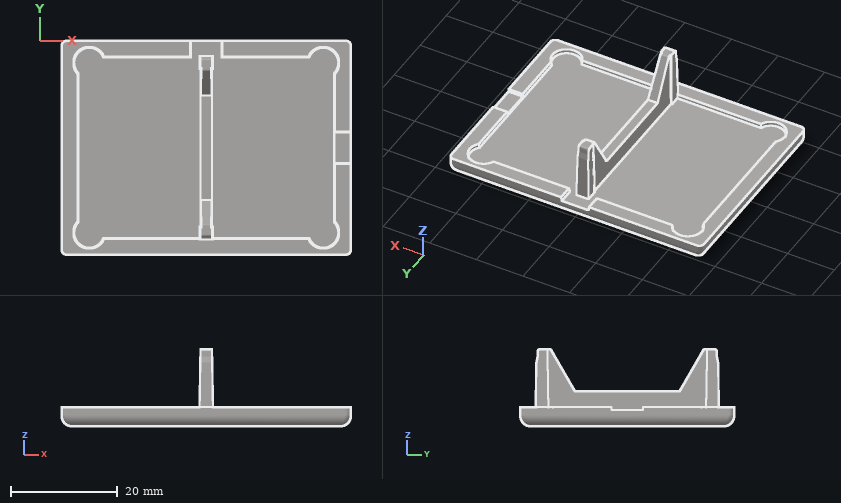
import cadquery as cq
import math

PLATE_LENGTH = 54.2
PLATE_WIDTH = 40.1
PLATE_THICKNESS = 3.6
PLATE_CORNER_RADIUS = 1.0
UNDERSIDE_RADIUS = 2.0

RIM_WIDTH = 3.0
POCKET_LENGTH = PLATE_LENGTH - 2 * RIM_WIDTH
POCKET_WIDTH = PLATE_WIDTH - 2 * RIM_WIDTH
POCKET_DEPTH = 0.8
RELIEF_RADIUS = 3.0
RELIEF_OFFSET_X = 21.9
RELIEF_OFFSET_Y = 15.9
RECESS_WALL_SLOPE = 12.0
FLOOR_Z = PLATE_THICKNESS - POCKET_DEPTH

NOTCH_WIDTH = 6.0
SIDE_NOTCH_DEPTH = 0.5
NOTCH_OVERLAP = 1.0

TOTAL_HEIGHT = 14.5
DRAFT_ANGLE = 1.0
WEB_BASE_THICKNESS = 2.2
LEG_BASE_THICKNESS = 2.6
LEG_OUTER_Y = 17.2
LEG_INNER_Y = 14.75
SADDLE_Z = 6.6
TIP_INNER_Y = 14.35
SADDLE_SLOPE = 60.0
TIP_RADIUS = 0.5
STEP_BOTTOM_Z = 11.9
STEP_TOP_Z = 13.1
STEP_INSET = 0.25

DRAFT = math.tan(math.radians(DRAFT_ANGLE))


def make_plate():
    """Rectangular plate with rounded corners and a rounded underside."""
    plate = cq.Workplane("XY").box(PLATE_LENGTH, PLATE_WIDTH, PLATE_THICKNESS, centered=(True, True, False))
    plate = plate.edges("|Z").fillet(PLATE_CORNER_RADIUS)
    return plate.faces("<Z").edges().fillet(UNDERSIDE_RADIUS)


def make_pocket():
    """Volume of the recess and its corner reliefs, narrowing from the rim down to the floor."""
    rim = cq.Workplane("XY", origin=(0, 0, PLATE_THICKNESS))
    pocket = rim.rect(POCKET_LENGTH, POCKET_WIDTH).extrude(-POCKET_DEPTH, taper=RECESS_WALL_SLOPE)
    for x in (-RELIEF_OFFSET_X, RELIEF_OFFSET_X):
        for y in (-RELIEF_OFFSET_Y, RELIEF_OFFSET_Y):
            relief = rim.center(x, y).circle(RELIEF_RADIUS).extrude(-POCKET_DEPTH, taper=RECESS_WALL_SLOPE)
            pocket = pocket.union(relief)
    return pocket


def make_notch(profile_plane, depth, start, end):
    """Volume of a notch with sloped sides, running outward from start to end along the plane normal."""
    half_top = NOTCH_WIDTH / 2
    half_floor = half_top - depth * math.tan(math.radians(RECESS_WALL_SLOPE))
    floor_z = PLATE_THICKNESS - depth
    outline = [
        (-half_top, PLATE_THICKNESS),
        (-half_floor, floor_z),
        (half_floor, floor_z),
        (half_top, PLATE_THICKNESS),
    ]
    profile = cq.Workplane(profile_plane).workplane(offset=start).polyline(outline).close()
    return profile.extrude(end - start)


def make_back_notch():
    """Notch through the +Y rim, level with the recess floor."""
    start = POCKET_WIDTH / 2 - NOTCH_OVERLAP
    plane = cq.Plane(origin=(0, 0, 0), xDir=(-1, 0, 0), normal=(0, 1, 0))
    return make_notch(plane, POCKET_DEPTH, start, PLATE_WIDTH / 2)


def make_side_notch():
    """Shallower notch through the +X rim."""
    start = POCKET_LENGTH / 2 - NOTCH_OVERLAP
    return make_notch("YZ", SIDE_NOTCH_DEPTH, start, PLATE_LENGTH / 2)


def make_drafted_slab(base_thickness, y_min, y_max):
    """Full-height block on the recess floor whose four sides lean inward by the draft angle."""
    height = TOTAL_HEIGHT - FLOOR_Z
    slab = cq.Workplane("XY", origin=(0, (y_min + y_max) / 2, FLOOR_Z))
    return slab.rect(base_thickness, y_max - y_min).extrude(height, taper=DRAFT_ANGLE)


def bracket_profile():
    """Side outline of the bracket in the YZ plane, extruded wider than the bracket."""
    saddle_y = TIP_INNER_Y - (TOTAL_HEIGHT - SADDLE_Z) / math.tan(math.radians(SADDLE_SLOPE))
    step_bottom_y = LEG_OUTER_Y - (STEP_BOTTOM_Z - FLOOR_Z) * DRAFT
    step_top_y = step_bottom_y - STEP_INSET
    tip_outer_y = step_top_y - (TOTAL_HEIGHT - STEP_TOP_Z) * DRAFT
    half_outline = [
        (LEG_OUTER_Y, FLOOR_Z),
        (step_bottom_y, STEP_BOTTOM_Z),
        (step_top_y, STEP_TOP_Z),
        (tip_outer_y, TOTAL_HEIGHT),
        (TIP_INNER_Y, TOTAL_HEIGHT),
        (saddle_y, SADDLE_Z),
    ]
    mirrored = [(-y, z) for y, z in reversed(half_outline)]
    profile = cq.Workplane("YZ").polyline(half_outline + mirrored).close()
    profile = profile.extrude(LEG_BASE_THICKNESS, both=True)
    return profile.faces(">Z").edges("|X").fillet(TIP_RADIUS)


def make_bracket():
    """Web and legs, all trimmed to the side outline."""
    bracket = make_drafted_slab(WEB_BASE_THICKNESS, -LEG_OUTER_Y, LEG_OUTER_Y)
    for y_min, y_max in ((LEG_INNER_Y, LEG_OUTER_Y), (-LEG_OUTER_Y, -LEG_INNER_Y)):
        bracket = bracket.union(make_drafted_slab(LEG_BASE_THICKNESS, y_min, y_max))
    return bracket.intersect(bracket_profile())


plate = make_plate().cut(make_pocket()).cut(make_back_notch()).cut(make_side_notch())
result = plate.union(make_bracket())